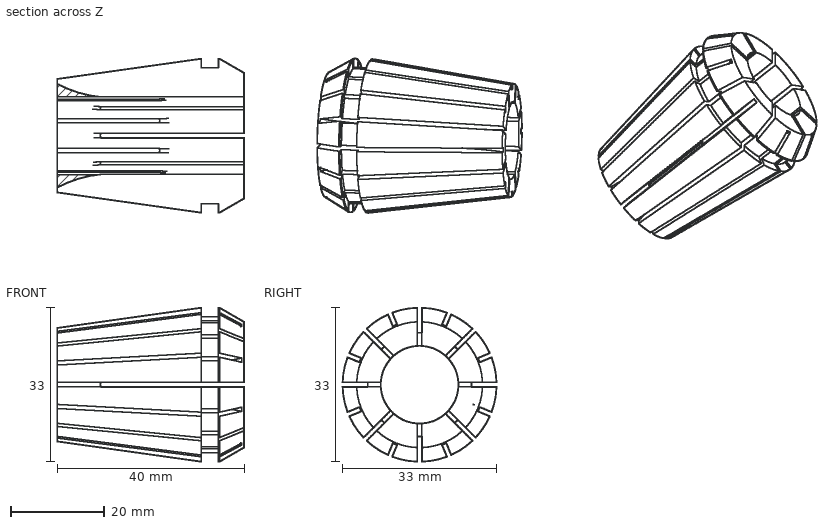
import cadquery as cq
import math

length = 40.0
max_radius = 16.5
bore_radius = 8.3
taper_angle = 8.0
nose_angle = 30.0

groove_start = 30.85
groove_end = 34.5
groove_radius = 14.6
land_end = 34.75

slots_per_end = 8
slot_width = 0.95
slot_pitch = 360.0 / slots_per_end
inner_slot_radius = bore_radius / 2
overrun = 1.0

rear_saw_radius = 25.0
rear_saw_bottom = 8.17
rear_exit_radius = 11.13

front_saw_radius = 40.0
front_saw_bottom = 8.2
front_exit_x = 39.5


def taper_height(run, angle):
    return run * math.tan(math.radians(angle))


def nose_cone_radius(x):
    return max_radius - taper_height(x - land_end, nose_angle)


def saw_reach(saw_radius, bottom, radius):
    """Axial distance from the saw centre to its rim at the given radius."""
    return math.sqrt(saw_radius**2 - (saw_radius + bottom - radius) ** 2)


def make_body():
    small_radius = max_radius - taper_height(groove_start, taper_angle)
    return (
        cq.Workplane("XY")
        .moveTo(0, bore_radius)
        .lineTo(0, small_radius)
        .lineTo(groove_start, max_radius)
        .lineTo(groove_start, groove_radius)
        .lineTo(groove_end, groove_radius)
        .lineTo(groove_end, max_radius)
        .lineTo(land_end, max_radius)
        .lineTo(length, nose_cone_radius(length))
        .lineTo(length, bore_radius)
        .close()
        .revolve(360, (0, 0, 0), (1, 0, 0))
    )


def make_slot(saw_radius, bottom, saw_x, open_x):
    """Slot along +Y: a round saw centred at saw_x, fed out past the end at open_x."""
    saw_y = bottom + saw_radius
    rim = math.copysign(saw_radius, saw_x - open_x)
    diagonal = math.sqrt(0.5)
    return (
        cq.Workplane("XY")
        .workplane(offset=-slot_width / 2)
        .moveTo(open_x, inner_slot_radius)
        .lineTo(saw_x, inner_slot_radius)
        .lineTo(saw_x, bottom)
        .threePointArc(
            (saw_x + rim * diagonal, saw_y - saw_radius * diagonal),
            (saw_x + rim, saw_y),
        )
        .lineTo(open_x, saw_y)
        .close()
        .extrude(slot_width)
    )


def make_rear_slot():
    saw_x = saw_reach(rear_saw_radius, rear_saw_bottom, rear_exit_radius)
    return make_slot(rear_saw_radius, rear_saw_bottom, saw_x, length + overrun)


def make_front_slot():
    exit_radius = nose_cone_radius(front_exit_x)
    saw_x = front_exit_x - saw_reach(front_saw_radius, front_saw_bottom, exit_radius)
    return make_slot(front_saw_radius, front_saw_bottom, saw_x, -overrun)


def cut_slots(body, slot, start_angle):
    for index in range(slots_per_end):
        angle = start_angle + index * slot_pitch
        body = body.cut(slot.rotate((0, 0, 0), (1, 0, 0), angle))
    return body


result = cut_slots(make_body(), make_rear_slot(), 0)
result = cut_slots(result, make_front_slot(), slot_pitch / 2)